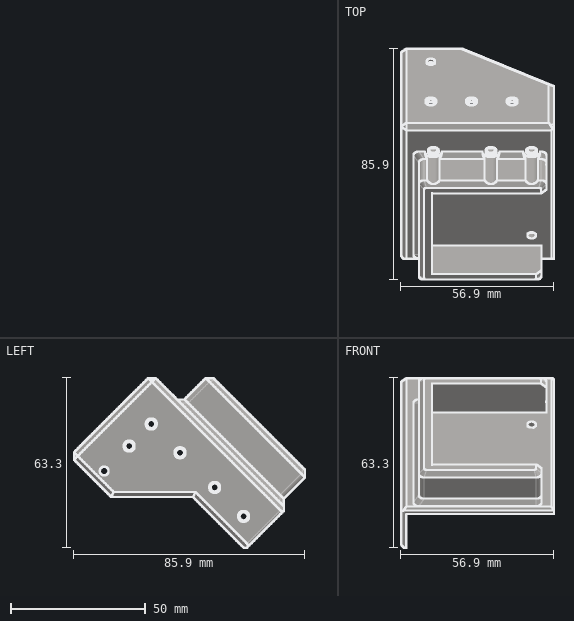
import cadquery as cq


TILT = 45
THICKNESS = 2.0
FRONT_THICKNESS = 3.0
FREE_BEVEL = 1.0
END_RADIUS = 1.0
WIDTH = 56.9
FRONT_LENGTH = 70.6
BACK_LENGTH = 43.0
SIDE_DEPTH = BACK_LENGTH / 2
SIDE_WIDE_LENGTH = 21.7
BACK_TOP_WIDTH = 22.7
BACK_SHORT_LENGTH = 23.2

CRADLE_LEFT = 6.6
CRADLE_HEIGHT = 15.1
CRADLE_START = 15.1
CRADLE_END = 67.4
CRADLE_MIDDLE_Y = -(CRADLE_START + CRADLE_END) / 2
UPPER_WALL_END = 54.1
LOWER_WALL_END = 52.3
CRADLE_WALL = 4.9
CRADLE_BEVEL = 2.0
RIM_RADIUS = 0.9

HOLE_DIA = 3.0
SINK_DIA = 4.1
PILOT_DIA = 3.2
HEAD_CLEARANCE_DIA = 6.45
EDGE_DISTANCE = 12.9
ROW_DEPTH = 13.25

BACK_HOLES_X = (11.1, 26.2, 41.4)
BACK_PILOT_DEPTH = 34.1
FRONT_HOLES_X = (12.0, 33.45, 48.6)
FRONT_PILOTS_Y = (-26.5, -57.3)
FRONT_PILOT_X = FRONT_HOLES_X[-1]
SIDE_ROW_Y = (-EDGE_DISTANCE, -28.0, -46.3, -61.5)
SIDE_SECOND_DEPTH = 24.85
SIDE_PILOT_DEPTH = 38.0

FRONT_INNER = cq.Plane(origin=(0, 0, -FRONT_THICKNESS), xDir=(1, 0, 0), normal=(0, 0, 1))
BACK_INNER = cq.Plane(origin=(0, -THICKNESS, 0), xDir=(-1, 0, 0), normal=(0, 1, 0))
SIDE_INNER = cq.Plane(origin=(THICKNESS, 0, 0), xDir=(0, -1, 0), normal=(-1, 0, 0))


def beveled_plate(plane, outline):
    """Plate whose edges all slope inward at 45 degrees toward the outer face."""
    return cq.Workplane(plane).polyline(outline).close().extrude(THICKNESS, taper=45)


def corner_block(width, length, depth):
    """Box that starts at the common corner of the three outer faces."""
    box = cq.Workplane().box(width, length, depth, centered=False)
    return box.translate((0, -length, -depth))


def make_side_plate(long_length):
    deep = beveled_plate(
        SIDE_INNER,
        [
            (0, 0),
            (0, -BACK_LENGTH),
            (SIDE_WIDE_LENGTH, -BACK_LENGTH),
            (SIDE_WIDE_LENGTH + BACK_LENGTH, 0),
        ],
    )
    narrow = beveled_plate(
        SIDE_INNER,
        [(0, 0), (0, -SIDE_DEPTH), (long_length, -SIDE_DEPTH), (long_length, 0)],
    )
    rounded_end = corner_block(THICKNESS, FRONT_LENGTH, SIDE_DEPTH)
    rounded_end = rounded_end.edges("<Y and <Z").fillet(END_RADIUS)
    return deep.union(narrow.intersect(rounded_end))


def make_plates():
    long_length = FRONT_LENGTH + THICKNESS
    long_width = WIDTH + THICKNESS
    front = corner_block(WIDTH, FRONT_LENGTH, FRONT_THICKNESS)
    front = front.edges(">X and >Y").chamfer(THICKNESS)
    back = beveled_plate(
        BACK_INNER,
        [
            (0, 0),
            (-WIDTH, 0),
            (-WIDTH, -BACK_SHORT_LENGTH),
            (-BACK_TOP_WIDTH, -BACK_LENGTH),
            (0, -BACK_LENGTH),
        ],
    )
    plates = front.union(back).union(make_side_plate(long_length))
    bevel_block = corner_block(long_width, long_length, BACK_LENGTH).edges().chamfer(THICKNESS)
    trim_block = corner_block(WIDTH, FRONT_LENGTH, BACK_LENGTH)
    trim_block = trim_block.edges(">Z and (>X or <Y)").chamfer(FREE_BEVEL)
    trim_block = trim_block.edges("|Z and <X and <Y").fillet(END_RADIUS)
    return plates.intersect(bevel_block).intersect(trim_block)


def cradle_outline(z, right, grow, radius):
    """Wire at height z: rounded rectangle, grown on the three closed sides of the cradle."""
    left = CRADLE_LEFT - grow
    length = CRADLE_END - CRADLE_START + 2 * grow
    outline = cq.Sketch().rect(right - left, length).vertices().fillet(radius)
    center = cq.Vector((left + right) / 2, CRADLE_MIDDLE_Y, z)
    return outline.moved(cq.Location(center)).faces().val().outerWire()


def cradle_layer(z_low, z_high, low, high):
    """Solid between two cradle outlines, each given as (right end, growth, radius)."""
    wires = [cradle_outline(z_low, *low), cradle_outline(z_high, *high)]
    return cq.Workplane(cq.Solid.makeLoft(wires, True))


def make_cradle(right):
    base = (right, CRADLE_BEVEL, CRADLE_BEVEL)
    wall = (right, 0, CRADLE_BEVEL)
    rim = (right - CRADLE_BEVEL, -CRADLE_BEVEL, RIM_RADIUS)
    rim_start = CRADLE_HEIGHT - CRADLE_BEVEL
    block = cradle_layer(0, CRADLE_BEVEL, base, wall)
    block = block.union(cradle_layer(CRADLE_BEVEL, rim_start, wall, wall))
    block = block.union(cradle_layer(rim_start, CRADLE_HEIGHT, wall, rim))
    pocket_length = CRADLE_END - CRADLE_START - 2 * CRADLE_WALL
    pocket = cq.Workplane().box(WIDTH, pocket_length, CRADLE_HEIGHT, centered=False)
    return block.cut(pocket.translate((CRADLE_LEFT + CRADLE_WALL, CRADLE_WALL - CRADLE_END, 0)))


def wall_region(y_low, y_high):
    box = cq.Workplane().box(WIDTH, y_high - y_low, CRADLE_HEIGHT, centered=False)
    return box.translate((0, y_low, 0))


def plain_holes(plane, points, depth=THICKNESS):
    return cq.Workplane(plane).pushPoints(points).circle(PILOT_DIA / 2).extrude(depth)


def sunk_holes(plane, points, depth=THICKNESS):
    """Screw holes with a 45 degree countersink at the outer face."""
    sink = (SINK_DIA - HOLE_DIA) / 2
    holes = cq.Workplane(plane).pushPoints(points).circle(HOLE_DIA / 2).extrude(depth)
    outer = cq.Workplane(plane).workplane(offset=depth)
    cones = outer.pushPoints(points).circle(SINK_DIA / 2).extrude(-sink, taper=45)
    return holes.union(cones)


upper_half = make_cradle(UPPER_WALL_END).intersect(wall_region(CRADLE_MIDDLE_Y, 0))
lower_half = make_cradle(LOWER_WALL_END).intersect(wall_region(-FRONT_LENGTH, CRADLE_MIDDLE_Y))
cradle = upper_half.union(lower_half)

front_points = [(x, -EDGE_DISTANCE) for x in FRONT_HOLES_X]
head_room = cq.Workplane().pushPoints(front_points).circle(HEAD_CLEARANCE_DIA / 2)
cradle = cradle.cut(head_room.extrude(CRADLE_HEIGHT))

body = make_plates().union(cradle)

body = body.cut(sunk_holes(FRONT_INNER, front_points, FRONT_THICKNESS))
pilot_points = [(FRONT_PILOT_X, y) for y in FRONT_PILOTS_Y]
body = body.cut(plain_holes(FRONT_INNER, pilot_points, FRONT_THICKNESS))

body = body.cut(sunk_holes(BACK_INNER, [(-x, -ROW_DEPTH) for x in BACK_HOLES_X]))
body = body.cut(plain_holes(BACK_INNER, [(-BACK_HOLES_X[0], -BACK_PILOT_DEPTH)]))

side_points = [(-y, -ROW_DEPTH) for y in SIDE_ROW_Y]
side_points.append((EDGE_DISTANCE, -SIDE_SECOND_DEPTH))
body = body.cut(sunk_holes(SIDE_INNER, side_points))
body = body.cut(plain_holes(SIDE_INNER, [(EDGE_DISTANCE, -SIDE_PILOT_DEPTH)]))

result = body.rotate((0, 0, 0), (1, 0, 0), TILT)